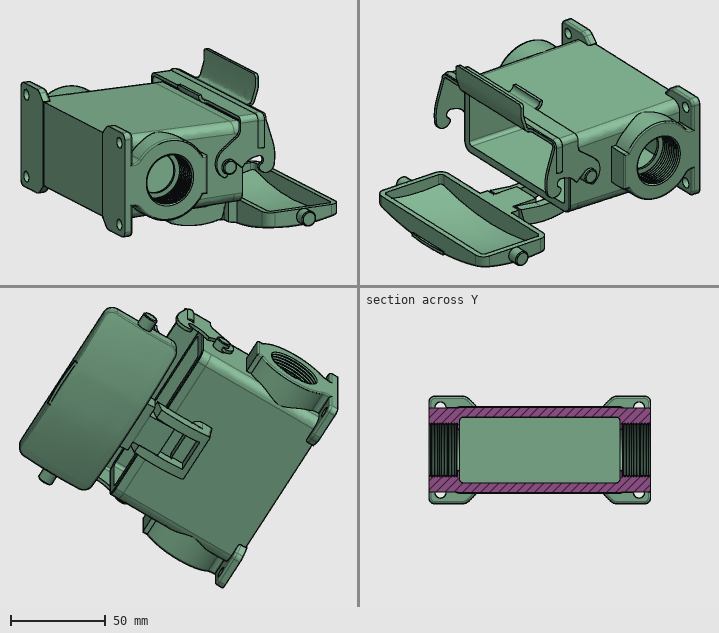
import cadquery as cq
import math


half_width = 47.1
base_half_height = 23.0
mouth_half_height = 22.0
back_y = 0.7
draft_end_y = 71.5
mouth_y = 76.8
corner_radius = 5.6
mouth_chamfer = 0.5
wall = 4.8
cavity_corner_radius = 2.0
cavity_floor_y = 4.8

flange_outer_x = 58.5
flange_inner_x = 33.6
flange_half_height = 28.5
flange_thickness = 4.8
flange_corner_radius = 3.1
flange_chamfer = 5.2
flange_chamfer_blend = 4.8
flange_edge_radius = 1.2
flange_hole_x = 52.4
flange_hole_z = 22.5
flange_hole_radius = 2.9

gland_y = 27.0
gland_radius = 22.3
gland_nose_y = 49.4
gland_nose_half_height = 10.5
gland_neck_half_height = 11.6
gland_blend = 4.8
gland_edge_radius = 0.8
gland_root_x = half_width - wall
thread_minor_radius = 13.3
thread_major_radius = 14.2
thread_pitch = 1.5
thread_turns = 10
wall_hole_radius = 10.9

pin_y = 66.4
pin_radius = 4.0
pin_tip_x = 52.3
pin_chamfer = 0.5

arm_half_width = 13.9
arm_front_y = 50.0
arm_heel_y = 51.6
arm_heel_z = -38.5
arm_post_back_y = 61.7
arm_end_y = 84.3
arm_end_top_z = -30.2
arm_top_z = -31.9
arm_edge_radius = 1.1
arm_post_radius = 5.3
slot_half_width = 8.7
slot_end_y = 55.1
slot_top_z = -30.0
slot_depth = 13.6

latch_half_width = 50.2
latch_top_z = 25.93
sheet = 1.8
bend_radius = 3.1
latch_back_y = 73.6
latch_front_y = 88.9
latch_bottom_z = -8.2
arch_start_y = 54.5
arch_end_y = 98.0
pin_slot_radius = 4.1
claw_start_angle = 41
claw_end_angle = 260
shoulder_z = 22.7
bead_center_y = 85.9
bead_width = 4.0
bead_height = 0.8
bead_bottom_z = 7.8
handle_half_width = 29.0
handle_top_z = 41.5
handle_face_y = 95.4
handle_corner_radius = 2.0
handle_flare = 2.0
tab_half_width = 11.8
tab_radius = 4.9
tab_flare = 1.4

cover_half_width = 47.1
cover_near_y = 90.7
cover_far_y = 134.6
cover_rim_z = -30.0
cover_bottom_z = -45.5
cover_corner_radius = 5.2
cover_wall = 3.1
cover_edge_radius = 0.8
dome_cross_radius = 172.9
dome_long_radius = 102.1
dome_peak_y = 107.5
dome_reach = 32.7
cover_pin_y = 112.7
cover_pin_tip_x = 53.8
cover_pin_radius = 4.1
lip_half_width = 13.7
lip_side_y = 135.3
lip_tip_y = 136.1
lip_top_z = -39.7
lip_thickness = 1.8
lug_root_z = -43.4
lug_end_y = 85.8
lug_end_z = -42.2
tongue_nose_y = 70.5
tongue_nose_z = -40.8
tongue_clearance = 0.1


def rounded_block(half_x, half_z, radius, y_start, y_end):
    """Block along Y with its four long edges rounded."""
    return (
        cq.Workplane("XZ", origin=(0, y_start, 0))
        .rect(2 * half_x, 2 * half_z)
        .extrude(y_start - y_end)
        .edges("|Y")
        .fillet(radius)
    )


def side_prism(outline, half_x):
    """Extrude a closed outline drawn in the YZ plane symmetrically about X = 0."""
    return outline.extrude(2 * half_x).translate((-half_x, 0, 0))


def x_cylinder(radius, x_start, x_end, y, z=0):
    """Cylinder along X."""
    return cq.Workplane("YZ", origin=(x_start, y, z)).circle(radius).extrude(x_end - x_start)


def both_sides(right_part):
    """Join a +X part with its mirror image."""
    return right_part.union(right_part.mirror("YZ"))


def housing_shell():
    """Drafted block ending in a straight band at the mouth."""
    to_mouth = cq.Location(cq.Vector(0, 0, back_y - draft_end_y))
    drafted = (
        cq.Workplane("XZ", origin=(0, back_y, 0))
        .placeSketch(
            rounded_section(base_half_height),
            rounded_section(mouth_half_height).moved(to_mouth),
        )
        .loft()
    )
    band = rounded_block(half_width, mouth_half_height, corner_radius, draft_end_y, mouth_y)
    return drafted.union(band.faces(">Y").chamfer(mouth_chamfer))


def rounded_section(half_height):
    return cq.Sketch().rect(2 * half_width, 2 * half_height).vertices().fillet(corner_radius)


def flange():
    """Mounting flange on the +X side, with its inner corners cut at 45 degrees."""
    width = flange_outer_x - flange_inner_x
    plate = cq.Workplane("XY").box(
        width, flange_thickness, 2 * flange_half_height, centered=(False, False, True)
    )
    plate = plate.translate((flange_inner_x, 0, 0))
    plate = plate.edges("|Y and >X").fillet(flange_corner_radius)
    plate = plate.edges("|Y and <X").chamfer(flange_chamfer)
    chamfer_start_x = flange_inner_x + flange_chamfer
    blend_corners = cq.selectors.BoxSelector(
        (chamfer_start_x - 0.1, -1.4, -flange_half_height - 1.4),
        (chamfer_start_x + 0.1, flange_thickness + 1.4, flange_half_height + 1.4),
    )
    plate = plate.edges("|Y").edges(blend_corners).fillet(flange_chamfer_blend)
    plate = plate.faces(">Y").edges().fillet(flange_edge_radius)
    holes = (
        cq.Workplane("XZ")
        .pushPoints([(flange_hole_x, flange_hole_z), (flange_hole_x, -flange_hole_z)])
        .circle(flange_hole_radius)
        .extrude(-flange_thickness)
    )
    return plate.cut(holes)


def gland():
    """Round boss on the +X side with a neck running back to the flange and a flat nose in front."""
    length = flange_outer_x - gland_root_x
    boss = x_cylinder(gland_radius, gland_root_x, flange_outer_x, gland_y)
    neck = cq.Workplane("XY").box(
        length, gland_y, 2 * gland_neck_half_height, centered=(False, False, True)
    )
    nose = cq.Workplane("XY").box(
        length, gland_nose_y - gland_y, 2 * gland_nose_half_height, centered=(False, False, True)
    )
    boss = boss.union(neck.translate((gland_root_x, 0, 0)))
    boss = boss.union(nose.translate((gland_root_x, gland_y, 0)))
    neck_run = math.sqrt(gland_radius**2 - gland_neck_half_height**2)
    neck_corner_y = gland_y - neck_run
    neck_corners = cq.selectors.BoxSelector(
        (gland_root_x - 1.4, neck_corner_y - 0.1, -gland_radius),
        (flange_outer_x + 1.4, neck_corner_y + 0.1, gland_radius),
    )
    boss = boss.edges("|X").edges(neck_corners).fillet(gland_blend)
    rim = cq.selectors.BoxSelector(
        (flange_outer_x - 0.1, 0.1, -gland_radius - 1.4),
        (flange_outer_x + 0.1, gland_nose_y + 1.4, gland_radius + 1.4),
    )
    return boss.edges(rim).fillet(gland_edge_radius)


def gland_bore():
    """Threaded bore of the +X gland, cut as rings, and the smaller hole on into the cavity."""
    profile = (
        cq.Workplane("XY")
        .moveTo(flange_outer_x, gland_y)
        .lineTo(flange_outer_x, gland_y + thread_major_radius)
    )
    for turn in range(thread_turns):
        crest_x = flange_outer_x - (turn + 0.5) * thread_pitch
        root_x = flange_outer_x - (turn + 1) * thread_pitch
        profile = profile.lineTo(crest_x, gland_y + thread_minor_radius)
        profile = profile.lineTo(root_x, gland_y + thread_major_radius)
    thread_end_x = flange_outer_x - thread_turns * thread_pitch
    thread = profile.lineTo(thread_end_x, gland_y).close().revolve(
        360, (0, gland_y, 0), (1, gland_y, 0)
    )
    return thread.union(x_cylinder(wall_hole_radius, gland_root_x - wall, thread_end_x, gland_y))


def latch_pin():
    return x_cylinder(pin_radius, gland_root_x, pin_tip_x, pin_y).faces(">X").chamfer(pin_chamfer)


def hinge_arm():
    """L-shaped arm: a post under the housing and a forked finger reaching forward to the cover."""
    root_z = -mouth_half_height + wall / 2
    outline = (
        cq.Workplane("YZ")
        .moveTo(arm_front_y, root_z)
        .lineTo(arm_heel_y, arm_heel_z)
        .threePointArc((65.3, -41.4), (81.7, -39.7))
        .lineTo(arm_end_y, arm_end_top_z)
        .lineTo(71.5, arm_top_z)
        .lineTo(arm_post_back_y, arm_top_z)
        .lineTo(arm_post_back_y, root_z)
        .close()
    )
    arm = side_prism(outline, arm_half_width)
    post_back = cq.selectors.BoxSelector(
        (-arm_half_width - 1.4, arm_post_back_y - 0.1, arm_top_z - 0.1),
        (arm_half_width + 1.4, arm_post_back_y + 0.1, root_z + 0.1),
    )
    arm = arm.edges("|Z").edges(post_back).fillet(arm_post_radius)
    front_edges = cq.selectors.BoxSelector(
        (-arm_half_width - 1.4, arm_front_y - 1.4, arm_heel_z - 1.4),
        (arm_half_width + 1.4, arm_heel_y + 0.3, root_z - 1.4),
    )
    arm = arm.faces("<X or >X").edges(front_edges).fillet(arm_edge_radius)
    slot = cq.Workplane("XY").box(
        2 * slot_half_width, arm_end_y - slot_end_y, slot_depth, centered=(True, False, False)
    )
    return arm.cut(slot.translate((0, slot_end_y, slot_top_z - slot_depth)))


def make_housing():
    cavity = rounded_block(
        half_width - wall, mouth_half_height - wall, cavity_corner_radius, cavity_floor_y, mouth_y
    )
    body = housing_shell().union(both_sides(flange())).union(both_sides(gland()))
    body = body.union(both_sides(latch_pin())).union(hinge_arm())
    return body.cut(cavity).cut(both_sides(gland_bore()))


def arch_block(inset):
    """Solid arch over the housing, moved inwards from the outside of the latch by the inset."""
    half_x = latch_half_width - inset
    top_z = latch_top_z - inset
    length = arch_end_y - arch_start_y
    block = cq.Workplane("XY").box(2 * half_x, length, top_z - latch_bottom_z, centered=(True, False, False))
    block = block.translate((0, arch_start_y, latch_bottom_z))
    return block.edges("|Y and >Z").fillet(bend_radius - inset)


def latch_side_outline():
    """Side plate: a hook in front and an open claw around the housing pin."""
    slot_start = math.radians(claw_start_angle)
    slot_stop = math.radians(claw_end_angle)
    slot_middle = (slot_start + slot_stop) / 2

    def slot_point(angle):
        return (pin_y + pin_slot_radius * math.cos(angle), pin_slot_radius * math.sin(angle))

    return (
        cq.Workplane("YZ")
        .moveTo(latch_back_y, latch_top_z)
        .lineTo(latch_front_y, latch_top_z)
        .lineTo(latch_front_y, shoulder_z)
        .lineTo(92.7, 10.9)
        .threePointArc((94.0, 3.4), (93.8, -1.6))
        .threePointArc((89.2, -6.3), (84.7, -3.3))
        .threePointArc((85.1, -1.9), (86.5, -0.8))
        .threePointArc((87.1, 1.6), (83.6, 3.4))
        .threePointArc((79.2, 2.3), (74.6, -1.8))
        .lineTo(*slot_point(slot_start))
        .threePointArc(slot_point(slot_middle), slot_point(slot_stop))
        .threePointArc((65.0, -5.6), (63.5, -5.7))
        .threePointArc((59.3, 1.4), (62.8, 9.0))
        .lineTo(70.6, 14.8)
        .threePointArc((73.0, 17.2), (latch_back_y, 19.9))
        .close()
    )


def handle():
    """Grip plate that turns up from the front edge of the latch."""
    under_z = latch_top_z - sheet
    root_y = latch_front_y - sheet
    plate = (
        cq.Workplane("YZ")
        .moveTo(root_y, under_z)
        .lineTo(latch_front_y, under_z)
        .spline(
            [(93.7, 28.5), (95.1, 33.1), (handle_face_y, handle_top_z)],
            tangents=[(1, 0), (0, 1)],
            includeCurrent=True,
        )
        .lineTo(handle_face_y - sheet, handle_top_z)
        .spline(
            [(93.4, 33.5), (92.2, 29.7), (latch_front_y, latch_top_z)],
            tangents=[(0, -1), (-1, 0)],
            includeCurrent=True,
        )
        .lineTo(root_y, latch_top_z)
        .close()
    )
    plate = side_prism(plate, handle_half_width)
    plate = plate.edges("|Y and >Z").fillet(handle_corner_radius)
    return plate.union(flare(handle_half_width, handle_flare, latch_front_y, 1))


def catch_tab():
    """Small tab that turns up from the rear edge of the latch."""
    under_z = latch_top_z - sheet
    inner_radius = tab_radius - sheet
    center_z = under_z + tab_radius
    diagonal = math.sqrt(0.5)
    tab = (
        cq.Workplane("YZ")
        .moveTo(latch_back_y, under_z)
        .threePointArc(
            (latch_back_y - tab_radius * diagonal, center_z - tab_radius * diagonal),
            (latch_back_y - tab_radius, center_z),
        )
        .lineTo(latch_back_y - inner_radius, center_z)
        .threePointArc(
            (latch_back_y - inner_radius * diagonal, center_z - inner_radius * diagonal),
            (latch_back_y, latch_top_z),
        )
        .close()
    )
    return side_prism(tab, tab_half_width).union(flare(tab_half_width, tab_flare, latch_back_y, -1))


def flare(half_x, size, root_y, direction):
    """Concave corner pieces where a tongue of the sheet leaves the edge at root_y."""
    tip_y = root_y + direction * size
    inner = size * (1 - math.sqrt(0.5))
    piece = (
        cq.Workplane("XY", origin=(0, 0, latch_top_z - sheet))
        .moveTo(half_x, root_y)
        .lineTo(half_x + size, root_y)
        .threePointArc((half_x + inner, root_y + direction * inner), (half_x, tip_y))
        .close()
        .extrude(sheet)
    )
    return both_sides(piece)


def bead():
    """Stiffening bead pressed outwards over the top and down both sides."""
    straight_x = latch_half_width - bend_radius
    bend_z = latch_top_z - bend_radius
    bend_offset = bend_radius * math.sqrt(0.5)
    path = (
        cq.Workplane("XZ", origin=(0, bead_center_y, 0))
        .moveTo(latch_half_width, bead_bottom_z)
        .lineTo(latch_half_width, bend_z)
        .threePointArc((straight_x + bend_offset, bend_z + bend_offset), (straight_x, latch_top_z))
        .lineTo(-straight_x, latch_top_z)
        .threePointArc((-straight_x - bend_offset, bend_z + bend_offset), (-latch_half_width, bend_z))
        .lineTo(-latch_half_width, bead_bottom_z)
    )
    return (
        cq.Workplane("XY", origin=(latch_half_width, bead_center_y, bead_bottom_z))
        .moveTo(-sheet / 2, -bead_width / 2)
        .lineTo(0, -bead_width / 2)
        .threePointArc((bead_height, 0), (0, bead_width / 2))
        .lineTo(-sheet / 2, bead_width / 2)
        .close()
        .sweep(path)
    )


def make_latch():
    arch = arch_block(0)
    arch = arch.cut(arch_block(sheet))
    strap = arch.intersect(side_prism(latch_side_outline(), latch_half_width))
    return strap.union(bead()).union(handle()).union(catch_tab())


def dome(inset):
    """Body bounded below by the double-curved cover bottom, moved inwards by the inset."""
    cross_radius = dome_cross_radius - inset
    long_radius = dome_long_radius - inset
    axis_z = cover_bottom_z + dome_cross_radius
    rise = long_radius - math.sqrt(long_radius**2 - dome_reach**2)
    peak_z = axis_z - cross_radius
    return (
        cq.Workplane("YZ")
        .moveTo(dome_peak_y - dome_reach, axis_z)
        .lineTo(dome_peak_y - dome_reach, peak_z + rise)
        .threePointArc((dome_peak_y, peak_z), (dome_peak_y + dome_reach, peak_z + rise))
        .lineTo(dome_peak_y + dome_reach, axis_z)
        .close()
        .revolve(360, (0, axis_z, 0), (1, axis_z, 0))
    )


def tray(inset):
    """Rounded tray body with a domed bottom."""
    length = cover_far_y - cover_near_y - 2 * inset
    block = cq.Workplane("XY").box(
        2 * (cover_half_width - inset), length, cover_rim_z - cover_bottom_z, centered=(True, False, False)
    )
    block = block.translate((0, cover_near_y + inset, cover_bottom_z))
    return block.edges("|Z").fillet(cover_corner_radius - inset).intersect(dome(inset))


def cover_pin():
    return x_cylinder(
        cover_pin_radius,
        cover_half_width - cover_wall / 2,
        cover_pin_tip_x,
        cover_pin_y,
        cover_rim_z - cover_pin_radius,
    ).faces(">X").chamfer(pin_chamfer)


def lip():
    """Finger lip on the far wall."""
    return (
        cq.Workplane("XY", origin=(0, 0, lip_top_z - lip_thickness))
        .moveTo(-lip_half_width, cover_far_y - cover_wall / 2)
        .lineTo(-lip_half_width, lip_side_y)
        .threePointArc((0, lip_tip_y), (lip_half_width, lip_side_y))
        .lineTo(lip_half_width, cover_far_y - cover_wall / 2)
        .close()
        .extrude(lip_thickness)
    )


def hinge_lug():
    """Wide lug on the near wall and the narrower tongue that enters the fork of the arm."""
    root_y = cover_near_y + cover_wall / 2
    lug = (
        cq.Workplane("YZ")
        .moveTo(root_y, cover_rim_z)
        .lineTo(lug_end_y, cover_rim_z)
        .lineTo(lug_end_y, lug_end_z)
        .lineTo(root_y, lug_root_z)
        .close()
    )
    tongue = (
        cq.Workplane("YZ")
        .moveTo(root_y, cover_rim_z)
        .lineTo(tongue_nose_y, cover_rim_z)
        .lineTo(tongue_nose_y, tongue_nose_z)
        .lineTo(lug_end_y, lug_end_z)
        .lineTo(root_y, lug_root_z)
        .close()
    )
    return side_prism(lug, arm_half_width).union(
        side_prism(tongue, slot_half_width - tongue_clearance)
    )


def make_cover():
    body = tray(0).faces("<Z").edges().fillet(cover_edge_radius)
    body = body.union(hinge_lug()).union(lip())
    return body.cut(tray(cover_wall)).union(both_sides(cover_pin()))


housing = make_housing()
latch = make_latch()
cover = make_cover()

result = cq.Compound.makeCompound([housing.solids().val(), latch.solids().val(), cover.solids().val()])